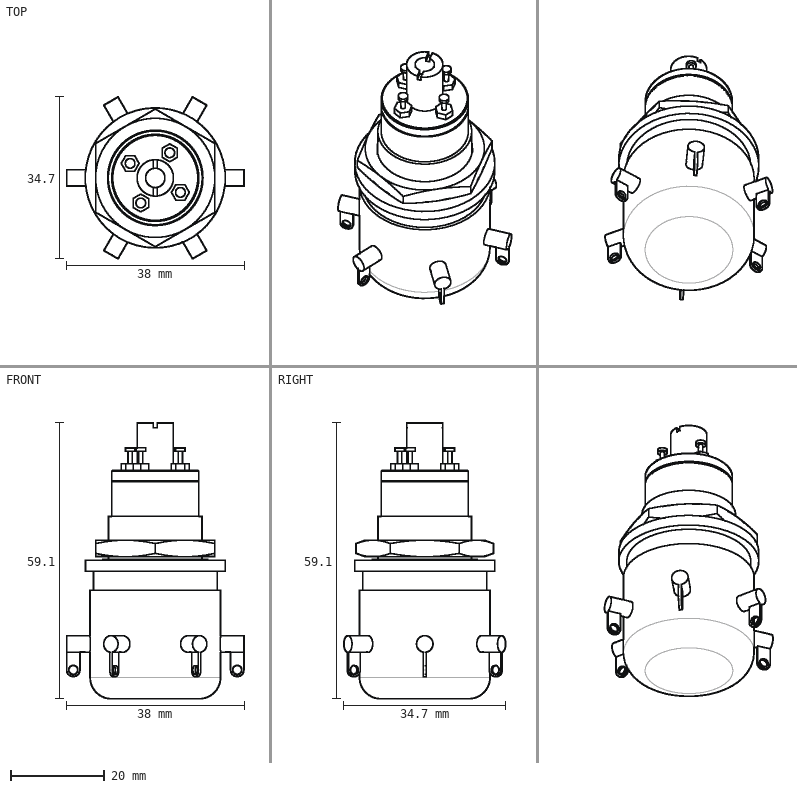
import cadquery as cq
import math

can_radius = 14.0
can_top = 23.3
can_bottom_fillet = 4.6
neck_radius = 13.3
neck_top = 27.3
flange_radius = 15.0
flange_top = 29.7
thread_radius = 10.05
thread_top = 39.05
barrel_radius = 9.35
barrel_top = 46.5

terminal_count = 6
terminal_tip_radius = 18.995
terminal_stud_radius = 1.8
terminal_height = 11.75
lug_width = 2.9
lug_thickness = 0.6
lug_eye_height = 6.2
lug_eye_radius = 0.95

washer_radius = 11.3
washer_thickness = 0.2

nut_across_flats = 25.5
nut_bottom = 30.4
nut_height = 3.55
nut_bore_radius = 10.2
nut_chamfer_angle = 20.0

cap_top = 48.9
cap_chamfer = 0.25

shaft_radius = 3.9
shaft_top = 59.1
shaft_bore_radius = 2.05
slot_width = 0.8
slot_depth = 1.0

pin_count = 4
pin_circle_radius = 6.2
first_pin_angle = 60.0
pin_hex_across_flats = 3.3
pin_hex_height = 1.4
pin_post_radius = 0.5
pin_head_radius = 1.035
pin_head_height = 0.7
pin_top = 53.7


def hexagon_diameter(across_flats):
    """Diameter across the corners of a hexagon."""
    return across_flats / math.cos(math.radians(30))


def cylinder(radius, bottom, top):
    """Upright cylinder about Z between two heights."""
    return cq.Workplane("XY").workplane(offset=bottom).circle(radius).extrude(top - bottom)


def turn_about_z(shape, angle):
    return shape.rotate((0, 0, 0), (0, 0, 1), angle)


def make_terminal(angle):
    """Radial stud with its lug, starting at the axis of the can."""
    stud = (
        cq.Workplane("YZ")
        .center(0, terminal_height)
        .circle(terminal_stud_radius)
        .extrude(terminal_tip_radius)
    )
    lug_plane = cq.Workplane("XZ", origin=(terminal_tip_radius - lug_width / 2, 0, lug_eye_height))
    lug_rise = terminal_height - lug_eye_height
    lug_end = lug_plane.circle(lug_width / 2).extrude(lug_thickness / 2, both=True)
    lug_blade = (
        lug_plane.center(0, lug_rise / 2).rect(lug_width, lug_rise).extrude(lug_thickness / 2, both=True)
    )
    eye = lug_plane.circle(lug_eye_radius).extrude(lug_thickness, both=True)
    return turn_about_z(stud.union(lug_blade).union(lug_end).cut(eye), angle)


def make_housing():
    housing = (
        cylinder(can_radius, 0, can_top)
        .faces("<Z")
        .edges()
        .fillet(can_bottom_fillet)
        .union(cylinder(neck_radius, can_top, neck_top))
        .union(cylinder(flange_radius, neck_top, flange_top))
        .union(cylinder(thread_radius, flange_top, thread_top))
        .union(cylinder(barrel_radius, thread_top, barrel_top))
    )
    for i in range(terminal_count):
        housing = housing.union(make_terminal(i * 360 / terminal_count))
    return housing


def make_washer():
    washer_top = flange_top + washer_thickness
    disc = cylinder(washer_radius, flange_top, washer_top)
    return disc.cut(cylinder(thread_radius, flange_top, washer_top))


def make_nut():
    flat_radius = nut_across_flats / 2
    corner_radius = hexagon_diameter(nut_across_flats) / 2
    corner_drop = (corner_radius - flat_radius) * math.tan(math.radians(nut_chamfer_angle))
    hexagon = turn_about_z(
        cq.Workplane("XY").polygon(6, 2 * corner_radius).extrude(nut_height),
        30,
    )
    bevel_envelope = (
        cq.Workplane("XZ")
        .moveTo(nut_bore_radius, 0)
        .lineTo(flat_radius, 0)
        .lineTo(corner_radius, corner_drop)
        .lineTo(corner_radius, nut_height - corner_drop)
        .lineTo(flat_radius, nut_height)
        .lineTo(nut_bore_radius, nut_height)
        .close()
        .revolve(360, (0, 0, 0), (0, 1, 0))
    )
    return hexagon.intersect(bevel_envelope).translate((0, 0, nut_bottom))


def make_cap():
    return cylinder(barrel_radius, barrel_top, cap_top).faces("|Z").edges().chamfer(cap_chamfer)


def make_shaft():
    tube = cylinder(shaft_radius, cap_top, shaft_top).cut(cylinder(shaft_bore_radius, cap_top, shaft_top))
    slot = (
        cq.Workplane("XY")
        .workplane(offset=shaft_top - slot_depth)
        .rect(slot_width, 2 * shaft_radius)
        .extrude(slot_depth)
    )
    return tube.cut(slot)


def make_pin(angle):
    """Turret pin: hexagonal base, thin post and round head."""
    base = turn_about_z(
        cq.Workplane("XY")
        .workplane(offset=cap_top)
        .polygon(6, hexagon_diameter(pin_hex_across_flats))
        .extrude(pin_hex_height),
        30,
    )
    post = cylinder(pin_post_radius, cap_top + pin_hex_height, pin_top)
    head = cylinder(pin_head_radius, pin_top - pin_head_height, pin_top)
    pin = base.union(post).union(head).translate((pin_circle_radius, 0, 0))
    return turn_about_z(pin, angle)


housing = make_housing()
washer = make_washer()
nut = make_nut()
cap = make_cap()
shaft = make_shaft()
pins = [make_pin(first_pin_angle + i * 360 / pin_count) for i in range(pin_count)]

result = cq.Compound.makeCompound(
    [
        housing.val(),
        washer.val(),
        nut.val(),
        cap.val(),
        shaft.val(),
        *[pin.val() for pin in pins],
    ]
)